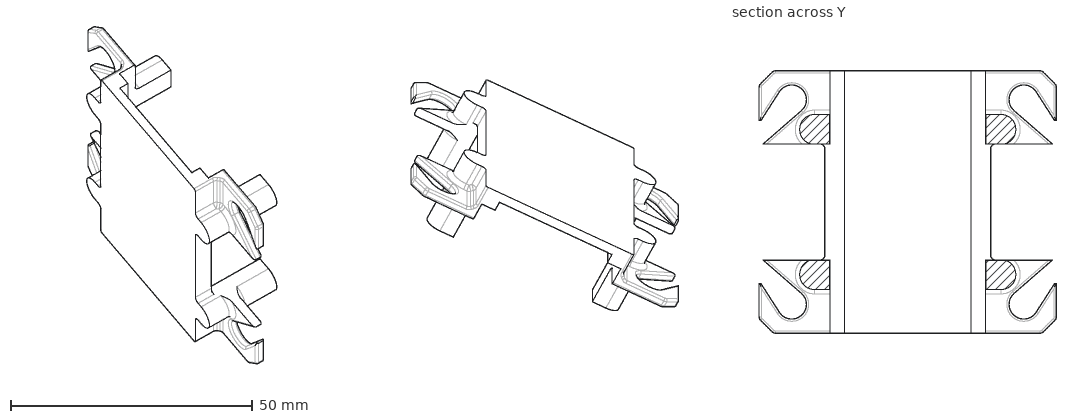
import cadquery as cq
import math

width = 61.6
depth = 17.0
height = 54.4

tray_width = 34.35
plate_thickness = 2.0
strip_thickness = 4.0
strip_inner_x = 13.05

ear_front_y = 6.0
ear_back_y = 8.0
wall_inner_x = 16.15
ear_chamfer = 3.0
ear_corner_radius = 1.0
edge_round = 0.5

bend_chamfer = 1.0
bend_radius = 1.0

post_radius = 3.0
post_x = 19.3
post_z = 15.0
post_fillet = 1.0

seat_radius = 3.0
seat_x = 24.0
seat_z = 21.2
lower_lip_angle = 41.0
upper_lip_angle = 57.3
mouth_length = 15.4
lip_tip_z = 16.9
lip_tip_width = 1.25

half_width = width / 2
half_height = height / 2
half_tray = tray_width / 2
post_tip_x = post_x + post_radius
post_bottom_z = post_z - post_radius
post_top_z = post_z + post_radius

trim_allowance = 3.1
blank_bottom_z = post_bottom_z - trim_allowance

pick_margin = 0.05


def block(x_range, y_range, z_range):
    """Box between the given limits."""
    (x0, x1), (y0, y1), (z0, z1) = x_range, y_range, z_range
    return cq.Workplane("XY").box(x1 - x0, y1 - y0, z1 - z0, centered=False).translate((x0, y0, z0))


def sketch_at(y):
    """Workplane at depth y whose axes are X and Z; it extrudes toward the front."""
    return cq.Workplane("XZ", origin=(0, y, 0))


def edges_in(x_range, y_range, z_range):
    """Selector for the edges centred within the given limits, widened by the margin."""
    low, high = zip(x_range, y_range, z_range)
    return cq.selectors.BoxSelector(
        tuple(value - pick_margin for value in low),
        tuple(value + pick_margin for value in high),
    )


def make_ear_blank():
    """Ear and wall with the bend and the outer rim rounded, before the slot is cut."""
    ear = (
        sketch_at(ear_back_y)
        .moveTo(wall_inner_x, blank_bottom_z)
        .lineTo(half_width, blank_bottom_z)
        .lineTo(half_width, half_height - ear_chamfer)
        .lineTo(half_width - ear_chamfer, half_height)
        .lineTo(wall_inner_x, half_height)
        .close()
        .extrude(ear_back_y - ear_front_y)
    )
    wall = block((wall_inner_x, half_tray), (0, ear_back_y), (blank_bottom_z, half_height))
    blank = ear.union(wall)

    full_z = (blank_bottom_z, half_height)
    bend = edges_in((half_tray, half_tray), (ear_front_y, ear_front_y), full_z)
    blank = blank.edges(bend).chamfer(bend_chamfer)
    bend_on_ear = edges_in((half_tray + bend_chamfer,) * 2, (ear_front_y, ear_front_y), full_z)
    bend_on_wall = edges_in((half_tray, half_tray), (ear_front_y - bend_chamfer,) * 2, full_z)
    blank = blank.edges("|Z").edges(bend_on_ear + bend_on_wall).fillet(bend_radius)

    corners = edges_in(
        (half_width - ear_chamfer, half_width),
        (ear_front_y, ear_back_y),
        (half_height - ear_chamfer, half_height),
    )
    blank = blank.edges("|Y").edges(corners).fillet(ear_corner_radius)

    front_rim = edges_in((half_width, half_width), (ear_front_y, ear_front_y), full_z)
    back_rim = edges_in((half_width, half_width), (ear_back_y, ear_back_y), full_z)
    return blank.edges(front_rim + back_rim).fillet(edge_round)


def make_slot():
    """Straight slot cutter: the round seat and the mouth between its two tangent lips."""
    lower = math.radians(lower_lip_angle)
    upper = math.radians(upper_lip_angle)
    lower_start = (seat_x - seat_radius * math.sin(lower), seat_z - seat_radius * math.cos(lower))
    upper_start = (seat_x + seat_radius * math.sin(upper), seat_z + seat_radius * math.cos(upper))
    lower_end = (
        lower_start[0] + mouth_length * math.cos(lower),
        lower_start[1] - mouth_length * math.sin(lower),
    )
    upper_end = (
        upper_start[0] + mouth_length * math.cos(upper),
        upper_start[1] - mouth_length * math.sin(upper),
    )
    middle = (upper - lower) / 2
    seat_back = (seat_x - seat_radius * math.cos(middle), seat_z + seat_radius * math.sin(middle))
    return (
        sketch_at(depth)
        .moveTo(*lower_end)
        .lineTo(*lower_start)
        .threePointArc(seat_back, upper_start)
        .lineTo(*upper_end)
        .close()
        .extrude(depth)
    )


def make_flared_slot():
    """Slot cutter joined to slabs in front of and behind the ear, so it leaves rounded edges."""
    slab_x = (post_x, half_width + mouth_length)
    slab_z = (-half_height, half_height)
    front_slab = block(slab_x, (0, ear_front_y), slab_z)
    back_slab = block(slab_x, (ear_back_y, depth), slab_z)
    cutter = make_slot().union(front_slab).union(back_slab)

    seat_side_x = (post_x, half_width)
    seat_side_z = (post_z, seat_z + seat_radius)
    front_edge = edges_in(seat_side_x, (ear_front_y, ear_front_y), seat_side_z)
    back_edge = edges_in(seat_side_x, (ear_back_y, ear_back_y), seat_side_z)
    return cutter.edges(front_edge + back_edge).fillet(edge_round)


def make_post():
    """Post with a half-round outer side, running the full depth."""
    return (
        sketch_at(depth)
        .moveTo(wall_inner_x, post_bottom_z)
        .lineTo(post_x, post_bottom_z)
        .threePointArc((post_tip_x, post_z), (post_x, post_top_z))
        .lineTo(wall_inner_x, post_top_z)
        .close()
        .extrude(depth)
    )


def make_ear_with_post():
    """Finished ear: slotted, with the blunt lip tip and the post blended in."""
    lip_end = block((half_width - lip_tip_width, half_width), (0, depth), (post_z, lip_tip_z))
    ear = make_ear_blank().cut(make_flared_slot()).cut(lip_end)
    ear = ear.union(make_post())

    for y in (ear_front_y, ear_back_y):
        post_foot = edges_in((post_x + post_radius / 2, post_tip_x), (y, y), (post_z, post_z))
        ear = ear.edges(post_foot).fillet(post_fillet)

    return ear.intersect(block((0, half_width), (0, depth), (post_bottom_z, half_height)))


def make_middle_side():
    """Side of the tray between the posts, rounded outward to meet the post."""
    return (
        sketch_at(strip_thickness)
        .moveTo(wall_inner_x, 0)
        .lineTo(half_tray, 0)
        .lineTo(half_tray, post_bottom_z - post_fillet)
        .radiusArc((half_tray + post_fillet, post_bottom_z), post_fillet)
        .lineTo(wall_inner_x, post_bottom_z)
        .close()
        .extrude(strip_thickness)
    )


def make_quarter():
    """Upper right quarter of the part."""
    plate = block((0, wall_inner_x), (0, plate_thickness), (0, half_height))
    strip = block((strip_inner_x, wall_inner_x), (0, strip_thickness), (0, half_height))
    return plate.union(strip).union(make_middle_side()).union(make_ear_with_post())


quarter = make_quarter()
half = quarter.union(quarter.mirror("XY"))
result = half.union(half.mirror("YZ"))